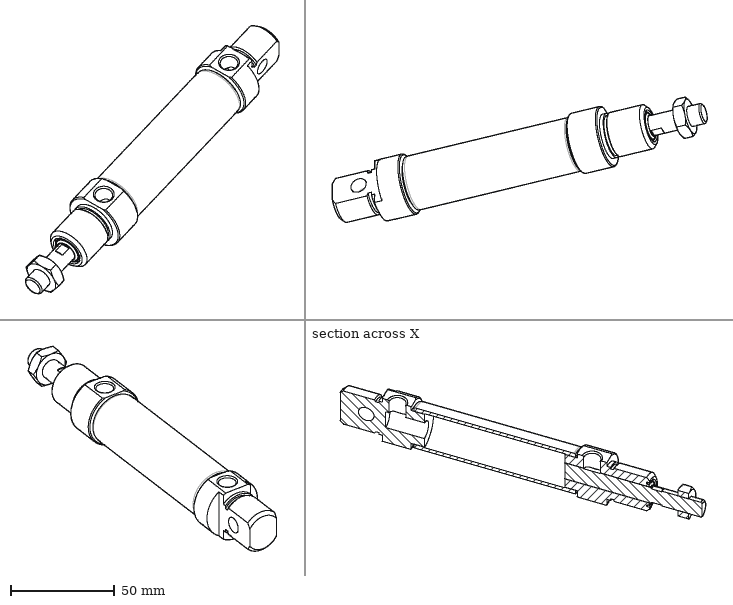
import cadquery as cq
import math


THREAD_D = 22.0
THREAD_CHAMFER = 1.7
GROOVE_D = 20.0
GROOVE_SLOPE = 0.5
ROD_D = 10.0

HEAD_D = 30.0
HEAD_FLAT_Z = 13.5
HEAD_CHAMFER = 0.5

PORT_D = 8.5
PORT_MOUTH_D = 10.0

FRONT_FACE_Y = 27.5
FRONT_GROOVE_Y = 46.2
FRONT_COLLAR_Y = 48.0
FRONT_HEAD_Y = 50.0
FRONT_HEAD_END_Y = 65.7
FRONT_PORT_Y = (FRONT_HEAD_Y + FRONT_HEAD_END_Y) / 2

SEAT_D = 15.8
SEAT_DEPTH = 1.5
LIP_SHOULDER_D = 14.0
LIP_SHOULDER_DEPTH = 0.4
LIP_D = 13.0
LIP_TIP_D = 10.6
LIP_PROTRUSION = 0.4

TUBE_D = 26.8
TUBE_START_Y = 66.5
TUBE_END_Y = 151.5
TUBE_RIM_DEPTH = 0.2
TUBE_FRONT_RIM = 0.8
TUBE_REAR_RIM = 1.1
SPIGOT_LENGTH = 5.7

REAR_HEAD_Y = 152.5
REAR_HEAD_END_Y = 168.0
REAR_GROOVE_Y = 169.7
REAR_THREAD_Y = 172.0
REAR_END_Y = 190.0
REAR_PORT_Y = 160.0
REAR_BORE_D = ROD_D
REAR_BORE_END_Y = 166.0

TONGUE_WIDTH = 16.0
TONGUE_Y = 164.2
CLEVIS_HOLE_D = 8.0
CLEVIS_HOLE_Y = 176.3

ROD_CHAMFER = 0.8
WRENCH_FLATS = 9.1
WRENCH_START_Y = 21.3
WRENCH_LENGTH = 5.3

NUT_ACROSS_FLATS = 17.1
NUT_Y = 7.0
NUT_THICKNESS = 5.9
NUT_SIDES = 6
NUT_CHAMFER_ANGLE = 30


def cylinder_y(diameter, y_start, y_end):
    """Cylinder on the Y axis between two stations."""
    return cq.Workplane("XZ", origin=(0, y_start, 0)).circle(diameter / 2).extrude(y_start - y_end)


def turned(profile):
    """Revolve (radius, y) points around the Y axis."""
    return cq.Workplane("XY").polyline(profile).close().revolve(360, (0, 0), (0, 1))


def port_cutter(y):
    """Vertical port from the head flat to the axis, with a 45 degree countersink."""
    depth = (PORT_MOUTH_D - PORT_D) / 2
    return (
        cq.Workplane("XZ", origin=(0, y, 0))
        .moveTo(0, 0)
        .lineTo(PORT_D / 2, 0)
        .lineTo(PORT_D / 2, HEAD_FLAT_Z - depth)
        .lineTo(PORT_MOUTH_D / 2, HEAD_FLAT_Z)
        .lineTo(0, HEAD_FLAT_Z)
        .close()
        .revolve(360, (0, 0), (0, 1))
    )


def cut_head_flat(cap, y_start, y_end):
    """Mill the port flat on top of a cap head."""
    height = HEAD_D / 2
    cutter = cq.Workplane("XY").box(
        HEAD_D, y_end - y_start, height, centered=(True, False, False)
    ).translate((0, y_start, HEAD_FLAT_Z))
    return cap.cut(cutter)


def cut_wiper_seat(cap):
    """Sink a ring-shaped seat into the front face, leaving a stepped, tapered lip proud around the rod."""
    seat_floor_y = FRONT_FACE_Y + SEAT_DEPTH
    shoulder_y = FRONT_FACE_Y + LIP_SHOULDER_DEPTH
    seat = cylinder_y(SEAT_D, FRONT_FACE_Y, seat_floor_y)
    lip = turned([
        (ROD_D / 2, FRONT_FACE_Y - LIP_PROTRUSION),
        (LIP_TIP_D / 2, FRONT_FACE_Y - LIP_PROTRUSION),
        (LIP_D / 2, shoulder_y),
        (LIP_SHOULDER_D / 2, shoulder_y),
        (LIP_SHOULDER_D / 2, seat_floor_y),
        (ROD_D / 2, seat_floor_y),
    ])
    return cap.cut(seat).union(lip)


def make_front_cap():
    """Threaded nose, ported head and tube spigot, bored through for the rod."""
    thread_r = THREAD_D / 2
    groove_r = GROOVE_D / 2
    head_r = HEAD_D / 2
    neck_end_y = TUBE_START_Y + SPIGOT_LENGTH
    cap = turned([
        (0, FRONT_FACE_Y),
        (thread_r - THREAD_CHAMFER, FRONT_FACE_Y),
        (thread_r, FRONT_FACE_Y + THREAD_CHAMFER),
        (thread_r, FRONT_GROOVE_Y),
        (groove_r, FRONT_GROOVE_Y + GROOVE_SLOPE),
        (groove_r, FRONT_COLLAR_Y),
        (thread_r, FRONT_COLLAR_Y),
        (thread_r, FRONT_HEAD_Y),
        (head_r - HEAD_CHAMFER, FRONT_HEAD_Y),
        (head_r, FRONT_HEAD_Y + HEAD_CHAMFER),
        (head_r, FRONT_HEAD_END_Y - HEAD_CHAMFER),
        (head_r - HEAD_CHAMFER, FRONT_HEAD_END_Y),
        (thread_r, FRONT_HEAD_END_Y),
        (thread_r, neck_end_y),
        (0, neck_end_y),
    ])
    cap = cut_head_flat(cap, FRONT_HEAD_Y, FRONT_HEAD_END_Y)
    cap = cap.cut(cylinder_y(ROD_D, FRONT_FACE_Y, neck_end_y))
    return cut_wiper_seat(cap).cut(port_cutter(FRONT_PORT_Y))


def make_rear_cap():
    """Tube spigot, ported head and threaded end milled into a clevis tongue."""
    thread_r = THREAD_D / 2
    groove_r = GROOVE_D / 2
    head_r = HEAD_D / 2
    neck_start_y = TUBE_END_Y - SPIGOT_LENGTH
    cap = turned([
        (0, neck_start_y),
        (thread_r, neck_start_y),
        (thread_r, REAR_HEAD_Y),
        (head_r - HEAD_CHAMFER, REAR_HEAD_Y),
        (head_r, REAR_HEAD_Y + HEAD_CHAMFER),
        (head_r, REAR_HEAD_END_Y),
        (thread_r, REAR_HEAD_END_Y),
        (thread_r, REAR_GROOVE_Y),
        (groove_r, REAR_GROOVE_Y),
        (groove_r, REAR_THREAD_Y - GROOVE_SLOPE),
        (thread_r, REAR_THREAD_Y),
        (thread_r, REAR_END_Y - THREAD_CHAMFER),
        (thread_r - THREAD_CHAMFER, REAR_END_Y),
        (0, REAR_END_Y),
    ])
    cap = cut_head_flat(cap, REAR_HEAD_Y, REAR_HEAD_END_Y)
    cap = cap.cut(cylinder_y(REAR_BORE_D, neck_start_y, REAR_BORE_END_Y))
    cap = cap.cut(port_cutter(REAR_PORT_Y))
    for side in (-1, 1):
        cheek = cq.Workplane("XY").box(
            HEAD_D, REAR_END_Y - TONGUE_Y, HEAD_D, centered=(True, False, True)
        ).translate((side * (HEAD_D + TONGUE_WIDTH) / 2, TONGUE_Y, 0))
        cap = cap.cut(cheek)
    clevis_hole = (
        cq.Workplane("YZ").center(CLEVIS_HOLE_Y, 0).circle(CLEVIS_HOLE_D / 2).extrude(TONGUE_WIDTH, both=True)
    )
    return cap.cut(clevis_hole)


def make_tube():
    """Tube with a slender chamfer around each end."""
    outer_r = TUBE_D / 2
    bore_r = THREAD_D / 2
    rim_r = outer_r - TUBE_RIM_DEPTH
    return turned([
        (bore_r, TUBE_START_Y),
        (rim_r, TUBE_START_Y),
        (outer_r, TUBE_START_Y + TUBE_FRONT_RIM),
        (outer_r, TUBE_END_Y - TUBE_REAR_RIM),
        (rim_r, TUBE_END_Y),
        (bore_r, TUBE_END_Y),
    ])


def make_rod():
    """Rod from its chamfered tip to the inner end of the front cap, with two wrench flats."""
    rod = cylinder_y(ROD_D, 0, TUBE_START_Y + SPIGOT_LENGTH).faces("<Y").chamfer(ROD_CHAMFER)
    for side in (-1, 1):
        flat = cq.Workplane("XY").box(
            ROD_D, WRENCH_LENGTH, ROD_D, centered=(True, False, True)
        ).translate((0, WRENCH_START_Y, side * (ROD_D + WRENCH_FLATS) / 2))
        rod = rod.cut(flat)
    return rod


def make_nut():
    """Hexagon nut with flats facing up and down and conical chamfers at both ends."""
    corner_d = NUT_ACROSS_FLATS / math.cos(math.pi / NUT_SIDES)
    flat_r = NUT_ACROSS_FLATS / 2
    chamfer = (corner_d / 2 - flat_r) * math.tan(math.radians(NUT_CHAMFER_ANGLE))
    nut_end_y = NUT_Y + NUT_THICKNESS
    hexagon = cq.Workplane("XZ", origin=(0, NUT_Y, 0)).polygon(NUT_SIDES, corner_d).extrude(-NUT_THICKNESS)
    envelope = turned([
        (0, NUT_Y),
        (flat_r, NUT_Y),
        (corner_d / 2, NUT_Y + chamfer),
        (corner_d / 2, nut_end_y - chamfer),
        (flat_r, nut_end_y),
        (0, nut_end_y),
    ])
    return hexagon.intersect(envelope).cut(cylinder_y(ROD_D, NUT_Y, nut_end_y))


front_cap = make_front_cap()
rear_cap = make_rear_cap()
tube = make_tube()
rod = make_rod()
nut = make_nut()

result = cq.Compound.makeCompound([
    front_cap.val(),
    rear_cap.val(),
    tube.val(),
    rod.val(),
    nut.val(),
])